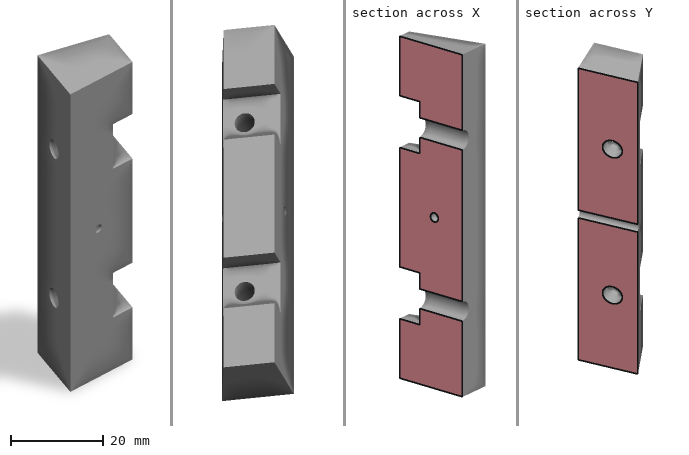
import cadquery as cq

length = 80.0
depth = 17.4
front_width = 16.0
back_width = 11.4

mount_diameter = 4.5
mount_spacing = length / 2
mount_x = front_width / 2

notch_height = 12.0
notch_depth = 5.4

cross_diameter = 2.0
cross_y = 7.8

mount_heights = [length / 2 - mount_spacing / 2, length / 2 + mount_spacing / 2]


def tapered_block():
    """Block with a square left side and a right side that slopes inward toward the back."""
    corners = [(0, 0), (front_width, 0), (back_width, depth), (0, depth)]
    return cq.Workplane("XY").polyline(corners).close().extrude(length)


def back_notch(height):
    """Rectangular cutter across the full width of the back face, centred at a height."""
    return (
        cq.Workplane("XY")
        .box(front_width, notch_depth, notch_height, centered=(False, False, True))
        .translate((0, depth - notch_depth, height))
    )


def mount_hole(height):
    """Cylinder along Y through the full depth."""
    axis_start = cq.Vector(mount_x, 0, height)
    return cq.Solid.makeCylinder(mount_diameter / 2, depth, axis_start, cq.Vector(0, 1, 0))


def cross_hole():
    """Cylinder along X through the full width."""
    axis_start = cq.Vector(0, cross_y, length / 2)
    return cq.Solid.makeCylinder(cross_diameter / 2, front_width, axis_start, cq.Vector(1, 0, 0))


result = tapered_block().cut(cross_hole())
for mount_height in mount_heights:
    result = result.cut(back_notch(mount_height)).cut(mount_hole(mount_height))